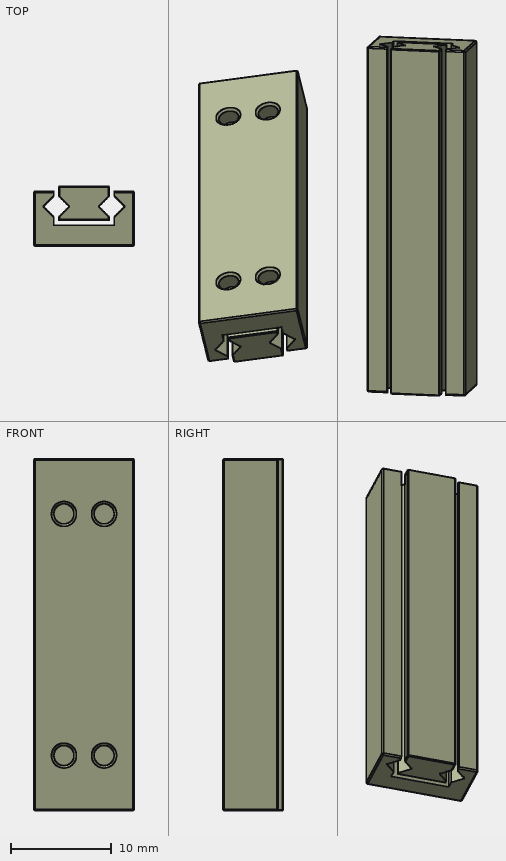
import cadquery as cq

LENGTH = 35.0
HOUSING_WIDTH = 10.0
TOTAL_HEIGHT = 6.0
HOUSING_HEIGHT = 5.5
SLOT_WIDTH = 6.0
SLOT_FLOOR = 2.1
RAIL_WIDTH = 5.0
RAIL_HEIGHT = 3.4
GROOVE_DEPTH = 1.05
GROOVE_FROM_TOP = 2.03
HOUSING_CHAMFER = 0.15
RAIL_CHAMFER = 0.1
RAIL_EDGES = "not(|Z and <Y)"

HOLE_DIAMETER = 2.0
HOLE_DEPTH = 1.75
HOLE_CHAMFER = 0.25
HOLE_SPACING_X = 4.0
HOLE_SPACING_Z = 24.0

BOTTOM_Y = -TOTAL_HEIGHT / 2
TOP_Y = TOTAL_HEIGHT / 2
RAIL_BOTTOM_Y = TOP_Y - RAIL_HEIGHT
GROOVE_Y = TOP_Y - GROOVE_FROM_TOP


def chamfered_bar(width, bottom_y, top_y, chamfer, edges=None):
    """Full-length rectangular bar, centred on X and Z, with its outer edges (or those selected) chamfered."""
    height = top_y - bottom_y
    bar = cq.Workplane("XY").box(width, height, LENGTH).edges(edges).chamfer(chamfer)
    return bar.translate((0, (bottom_y + top_y) / 2, 0))


def v_groove_cutters(wall_x):
    """Diamond prisms whose diagonals lie on the walls at x = -wall_x and x = +wall_x."""
    return (
        cq.Workplane("XY", origin=(0, GROOVE_Y, -LENGTH / 2))
        .pushPoints([(-wall_x, 0), (wall_x, 0)])
        .polygon(4, 2 * GROOVE_DEPTH)
        .extrude(LENGTH)
    )


def slot_cutter():
    """Rectangular channel, open at the +Y side, that the rail runs in."""
    depth = TOTAL_HEIGHT - SLOT_FLOOR
    return cq.Workplane("XY").box(SLOT_WIDTH, depth, LENGTH).translate(
        (0, BOTTOM_Y + SLOT_FLOOR + depth / 2, 0)
    )


def mounting_hole_cutters():
    """Four blind holes in the web, chamfered at the -Y face."""
    hole_radius = HOLE_DIAMETER / 2
    mouth_radius = hole_radius + HOLE_CHAMFER
    profile = [
        (0, 0),
        (mouth_radius, 0),
        (hole_radius, HOLE_CHAMFER),
        (hole_radius, HOLE_DEPTH),
        (0, HOLE_DEPTH),
    ]
    hole = cq.Workplane("XY").polyline(profile).close().revolve(360, (0, 0, 0), (0, 1, 0))
    cutters = cq.Workplane("XY")
    for side_x in (-1, 1):
        for side_z in (-1, 1):
            place = (side_x * HOLE_SPACING_X / 2, BOTTOM_Y, side_z * HOLE_SPACING_Z / 2)
            cutters = cutters.add(hole.translate(place))
    return cutters.combine()


def make_housing():
    """U-shaped guide with V grooves in both slot walls."""
    bar = chamfered_bar(HOUSING_WIDTH, BOTTOM_Y, BOTTOM_Y + HOUSING_HEIGHT, HOUSING_CHAMFER)
    guide = bar.cut(slot_cutter()).cut(v_groove_cutters(SLOT_WIDTH / 2))
    return guide.cut(mounting_hole_cutters())


def make_rail():
    """Inner rail with a V groove in each flank, level with the housing grooves."""
    bar = chamfered_bar(RAIL_WIDTH, RAIL_BOTTOM_Y, TOP_Y, RAIL_CHAMFER, RAIL_EDGES)
    return bar.cut(v_groove_cutters(RAIL_WIDTH / 2))


housing = make_housing()
rail = make_rail()

result = cq.Compound.makeCompound([housing.val(), rail.val()])